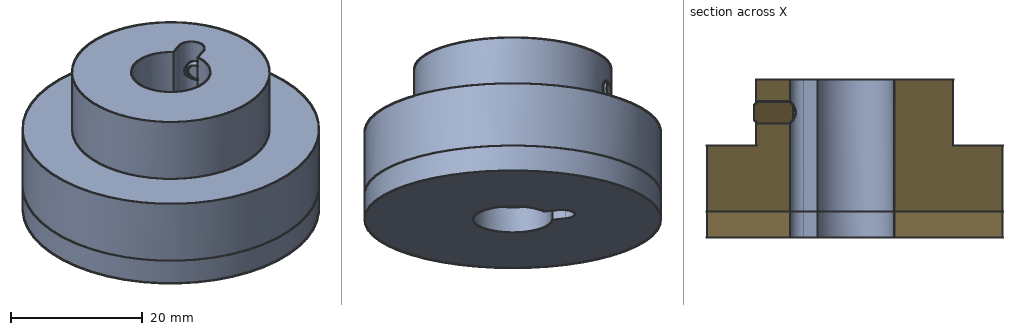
import cadquery as cq

flange_diameter = 45.0
hub_diameter = 30.0
plate_thickness = 4.0
flange_thickness = 10.0
hub_height = 10.0
flange_top = plate_thickness + flange_thickness
total_height = flange_top + hub_height

bore_diameter = 12.0
keyway_width = 4.0
keyway_reach = 9.8
keyway_end_center = keyway_reach - keyway_width / 2

screw_diameter = 3.3
screw_length = 6.0
screw_chamfer = 0.5
screw_protrusion = 0.3
screw_height = flange_top + hub_height / 2
screw_outer_end = hub_diameter / 2 + screw_protrusion
screw_inner_end = screw_outer_end - screw_length


def keyed_bore():
    """Cutter for the bore and its keyway through the full height."""
    bore = cq.Workplane("XY").circle(bore_diameter / 2).extrude(total_height)
    keyway = (
        cq.Workplane("XY")
        .center(0, keyway_end_center / 2)
        .rect(keyway_width, keyway_end_center)
        .extrude(total_height)
    )
    keyway_end = (
        cq.Workplane("XY")
        .center(0, keyway_end_center)
        .circle(keyway_width / 2)
        .extrude(total_height)
    )
    return bore.union(keyway).union(keyway_end)


def radial_cylinder(start, end):
    """Cylinder of the screw diameter along +Y, between two distances from the bore axis."""
    return (
        cq.Workplane("XZ", origin=(0, start, screw_height))
        .circle(screw_diameter / 2)
        .extrude(start - end)
    )


def make_end_plate():
    disc = cq.Workplane("XY").circle(flange_diameter / 2).extrude(plate_thickness)
    return disc.cut(keyed_bore())


def make_flanged_hub():
    flange = (
        cq.Workplane("XY", origin=(0, 0, plate_thickness))
        .circle(flange_diameter / 2)
        .extrude(flange_thickness)
    )
    hub = (
        cq.Workplane("XY", origin=(0, 0, flange_top))
        .circle(hub_diameter / 2)
        .extrude(hub_height)
    )
    screw_hole = radial_cylinder(keyway_end_center, screw_outer_end)
    return flange.union(hub).cut(keyed_bore()).cut(screw_hole)


def make_set_screw():
    """Headless screw with both ends chamfered; its inner end stands in the keyway."""
    shank = radial_cylinder(screw_inner_end, screw_outer_end)
    return shank.faces("<Y or >Y").chamfer(screw_chamfer)


end_plate = make_end_plate()
flanged_hub = make_flanged_hub()
set_screw = make_set_screw()

result = cq.Compound.makeCompound([end_plate.val(), flanged_hub.val(), set_screw.val()])